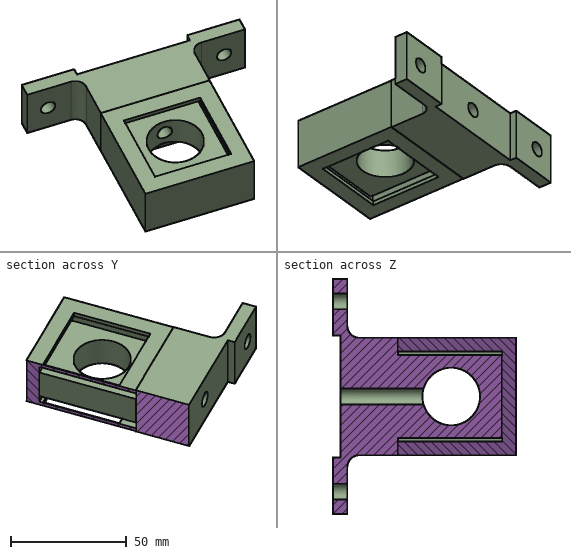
import cadquery as cq


bracket_width = 101.6
bracket_height = 24.5
joint_x = 28.1
ear_thickness = 6.3
relief_depth = 3.3
relief_width = 52.6
corner_radius = 5.1
corner_margin = 1.0
bolt_hole_diameter = 6.7
bolt_hole_offset = 41.0

sleeve_length = 51.0
sleeve_width = 50.8
sleeve_height = 24.2
window_size = 35.6
window_wall = 2.0
side_clearance = 1.6
cavity_width = window_size + 2 * side_clearance
cavity_height = sleeve_height - 2 * window_wall
sleeve_center_x = joint_x + sleeve_length / 2
cavity_end_x = sleeve_center_x + cavity_width / 2
cavity_length = cavity_end_x - joint_x

tongue_width = 36.0
tongue_height = 13.8
bore_diameter = 24.8
bore_setback = 2.5
bore_x = sleeve_center_x - bore_setback


def box_from(start_x, length, width, height):
    """Box that starts at start_x and is centred on Y and Z."""
    return cq.Workplane("XY").box(length, width, height, centered=(False, True, True)).translate((start_x, 0, 0))


def hole_along_x(y, length):
    """Bolt-hole cutter that starts at the mounting face."""
    return cq.Workplane("YZ").center(y, 0).circle(bolt_hole_diameter / 2).extrude(length)


def make_bracket():
    ears = box_from(0, ear_thickness, bracket_width, bracket_height)
    neck = box_from(0, joint_x, sleeve_width, bracket_height)
    body = ears.union(neck)

    inside_corners = cq.selectors.BoxSelector(
        (ear_thickness - corner_margin, -sleeve_width / 2 - corner_margin, -bracket_height),
        (ear_thickness + corner_margin, sleeve_width / 2 + corner_margin, bracket_height),
    )
    body = body.edges("|Z").edges(inside_corners).fillet(corner_radius)

    body = body.cut(box_from(0, relief_depth, relief_width, bracket_height))

    body = body.union(box_from(joint_x, cavity_length, tongue_width, tongue_height))
    bore = cq.Workplane("XY").center(bore_x, 0).circle(bore_diameter / 2).extrude(tongue_height / 2, both=True)
    body = body.cut(bore)

    for side in (-1, 1):
        body = body.cut(hole_along_x(side * bolt_hole_offset, ear_thickness))
    return body.cut(hole_along_x(0, bore_x))


def make_sleeve():
    shell = box_from(joint_x, sleeve_length, sleeve_width, sleeve_height)
    cavity = box_from(joint_x, cavity_length, cavity_width, cavity_height)
    window = box_from(sleeve_center_x - window_size / 2, window_size, window_size, sleeve_height)
    return shell.cut(cavity).cut(window)


bracket = make_bracket()
sleeve = make_sleeve()
result = cq.Compound.makeCompound([bracket.solids().val(), sleeve.solids().val()])